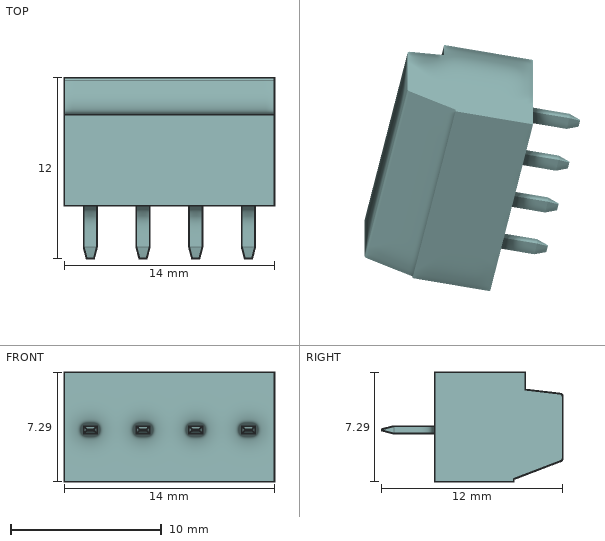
import cadquery as cq

body_length = 13.97
body_depth = 8.51
body_height = 7.29

top_depth = 6.03
top_step = 1.15
top_slope_drop = 1.44
bottom_depth = 5.26
bottom_step = 0.19
bottom_slope_rise = 1.43
back_corner_radius = 0.2

pin_count = 4
pin_pitch = 3.5
pin_width = 0.9
pin_thickness = 0.5
pin_reach = 3.5
pin_tip_length = 0.77
pin_tip_width = 0.5
pin_tip_thickness = 0.1
pin_height = 3.46


def make_body():
    """Housing: one side profile extruded along the row, with rounded back corners."""
    profile = [
        (0, 0),
        (bottom_depth, 0),
        (bottom_depth, bottom_step),
        (body_depth, bottom_slope_rise),
        (body_depth, body_height - top_slope_drop),
        (top_depth, body_height - top_step),
        (top_depth, body_height),
        (0, body_height),
    ]
    housing = cq.Workplane("YZ").polyline(profile).close().extrude(body_length / 2, both=True)
    return housing.faces(">Y").edges("|X").fillet(back_corner_radius)


def make_pin(x):
    """Flat pin leaving the body toward -Y and ending in a blunt tapered tip."""
    shank_length = pin_reach - pin_tip_length
    shank = (
        cq.Workplane("XZ", origin=(x, 0, pin_height))
        .rect(pin_width, pin_thickness)
        .extrude(shank_length)
    )
    tip = (
        cq.Workplane("XZ", origin=(x, -shank_length, pin_height))
        .rect(pin_width, pin_thickness)
        .workplane(offset=pin_tip_length)
        .rect(pin_tip_width, pin_tip_thickness)
        .loft(ruled=True)
    )
    return shank.union(tip)


result = make_body()
for index in range(pin_count):
    pin_x = (index - (pin_count - 1) / 2) * pin_pitch
    result = result.union(make_pin(pin_x))